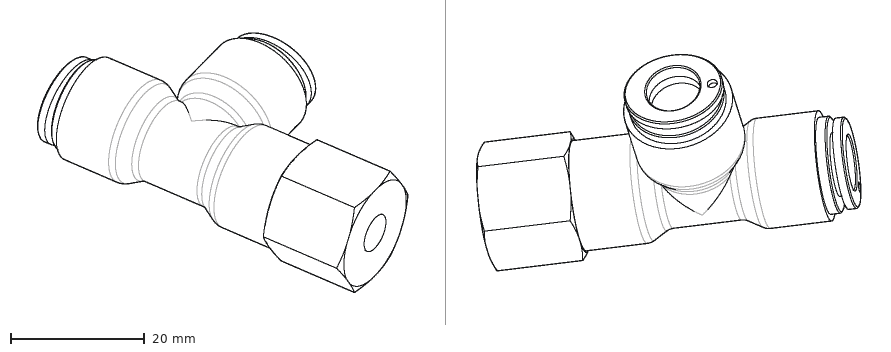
import cadquery as cq
import math


total_length = 55.6
total_width = 32.65
across_flats = 17.0
across_corners = across_flats / math.cos(math.pi / 6)
tee_centre = total_width - across_corners / 2

flange_end = 1.45
collar_start = 2.4
barrel_start = 4.05
tube_stop = 13.45
hex_start = 41.55

barrel_radius = 16.7 / 2
waist_radius = 13.1 / 2
waist_half_length = 5.2
cone_angle = math.radians(30)
blend_radius = 2.05

tube_bore_radius = 8.2 / 2
through_bore_radius = 6.0 / 2

collar_radius = 14.7 / 2
collar_chamfer = 0.2

flange_half_width = 15.0 / 2
flange_half_height = 13.05 / 2
flange_chamfer = 0.2
button_neck_radius = 9.6 / 2
mouth_chamfer = 0.2
mark_radius = 1.5 / 2
mark_offset = 6.0
mark_depth = 0.85

hex_face_radius = 8.55
hex_chamfer_angle = math.radians(21)


def cylinder(radius, start, end):
    """Solid cylinder on the run axis between two X positions."""
    return cq.Workplane("YZ", origin=(start, 0, 0)).circle(radius).extrude(end - start)


def turn_to_branch(body):
    """Turn a body of the run arm a quarter turn about the tee centre onto the branch."""
    return body.rotate((tee_centre, 0, 0), (tee_centre, 0, 1), -90)


def make_arm(start):
    """Barrel from `start` that narrows through a blended cone to the waist, up to the tee centre."""
    blend_length = blend_radius * math.sin(cone_angle)
    blend_drop = blend_radius * (1 - math.cos(cone_angle))
    cone_length = (barrel_radius - waist_radius - 2 * blend_drop) / math.tan(cone_angle)
    waist_start = tee_centre - waist_half_length
    cone_end = waist_start - blend_length
    cone_start = cone_end - cone_length
    shoulder_start = cone_start - blend_length
    half_angle = cone_angle / 2
    half_length = blend_radius * math.sin(half_angle)
    half_drop = blend_radius * (1 - math.cos(half_angle))
    return (
        cq.Workplane("XY")
        .moveTo(start, 0)
        .lineTo(start, barrel_radius)
        .lineTo(shoulder_start, barrel_radius)
        .threePointArc(
            (shoulder_start + half_length, barrel_radius - half_drop),
            (cone_start, barrel_radius - blend_drop),
        )
        .lineTo(cone_end, waist_radius + blend_drop)
        .threePointArc(
            (waist_start - half_length, waist_radius + half_drop),
            (waist_start, waist_radius),
        )
        .lineTo(tee_centre, waist_radius)
        .lineTo(tee_centre, 0)
        .close()
        .revolve(360, (0, 0, 0), (1, 0, 0))
    )


def make_housing():
    """Tee of three arms with a stepped tube bore in the two push-in arms."""
    arm = make_arm(barrel_start)
    socket_arm = make_arm(2 * tee_centre - hex_start).mirror("YZ", (tee_centre, 0, 0))
    housing = arm.union(socket_arm).union(turn_to_branch(arm))
    tube_bore = cylinder(tube_bore_radius, barrel_start, tube_stop)
    branch_passage = cylinder(through_bore_radius, barrel_start, tee_centre)
    run_passage = cylinder(through_bore_radius, barrel_start, hex_start)
    for passage in (tube_bore, run_passage, turn_to_branch(tube_bore), turn_to_branch(branch_passage)):
        housing = housing.cut(passage)
    return housing


def make_collar():
    """Ring on the end of a barrel, around the tube bore."""
    return (
        cylinder(collar_radius, collar_start, barrel_start)
        .faces("<X")
        .edges()
        .chamfer(collar_chamfer)
        .cut(cylinder(tube_bore_radius, collar_start, barrel_start))
    )


def make_button():
    """Oval flange with a round neck, a chamfered tube mouth and a small round blind recess."""
    flange = (
        cq.Workplane("YZ")
        .ellipse(flange_half_width, flange_half_height)
        .extrude(flange_end)
        .faces("<X")
        .edges()
        .chamfer(flange_chamfer)
    )
    neck = cylinder(button_neck_radius, flange_end, collar_start)
    bore = cylinder(tube_bore_radius, 0, collar_start)
    mark = cylinder(mark_radius, 0, mark_depth).translate((0, -mark_offset, 0))
    button = flange.union(neck).cut(bore)
    return button.faces("<X").edges("%CIRCLE").chamfer(mouth_chamfer).cut(mark)


def make_hex_socket():
    """Hexagon whose corners are chamfered by a cone at both ends, with the through passage."""
    length = total_length - hex_start
    hexagon = cq.Workplane("YZ", origin=(hex_start, 0, 0)).polygon(6, across_corners).extrude(length)
    corner_radius = across_corners / 2
    chamfer_length = (corner_radius - hex_face_radius) * math.tan(hex_chamfer_angle)
    chamfer_envelope = (
        cq.Workplane("XY")
        .moveTo(hex_start, 0)
        .lineTo(hex_start, hex_face_radius)
        .lineTo(hex_start + chamfer_length, corner_radius)
        .lineTo(total_length - chamfer_length, corner_radius)
        .lineTo(total_length, hex_face_radius)
        .lineTo(total_length, 0)
        .close()
        .revolve(360, (0, 0, 0), (1, 0, 0))
    )
    passage = cylinder(through_bore_radius, hex_start, total_length)
    return hexagon.intersect(chamfer_envelope).cut(passage)


housing = make_housing()
hex_socket = make_hex_socket()
bodies = [housing.val(), hex_socket.val()]
for make_body in (make_collar, make_button):
    run_body = make_body()
    bodies += [run_body.val(), turn_to_branch(run_body).val()]

result = cq.Compound.makeCompound(bodies)